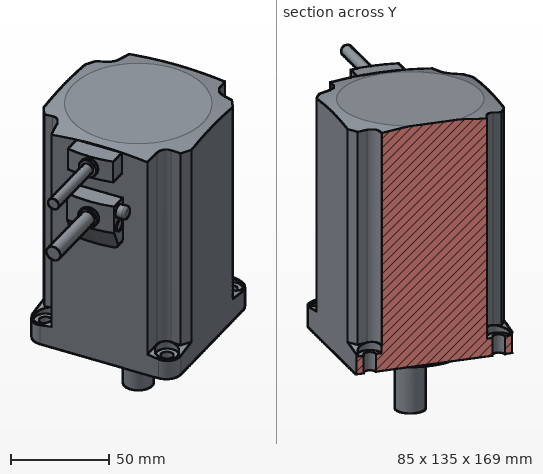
import cadquery as cq
import math

body_width = 85.0
half_width = body_width / 2
body_height = 132.0
flange_corner_radius = 8.5

rear_flat_radius = 37.5
rear_cone_angle = 12.0

hole_offset = 35.0
hole_diameter = 6.6
counterbore_radius = 6.2
counterbore_floor_z = 10.0

groove_radius = 6.3
groove_side_lean = 8.0
groove_shoulder_x = 39.1
groove_mouth_y = 22.7
groove_outer_margin = 10.0

flange_cone_angle = 15.0
flange_height_at_holes = 12.9
hole_circle_radius = hole_offset * math.sqrt(2)

pilot_diameter = 60.0
pilot_height = 3.0
shaft_diameter = 16.0
shaft_length = 37.0

crown_radius = 63.0
outlet_depth = 10.8
cable_reach = 50.0
collar_length = 2.0
mount_overlap = 1.0

upper_width = 26.0
upper_height = 12.5
upper_bottom_z = 118.0
upper_cable_z = upper_bottom_z + upper_height / 2
upper_cable_diameter = 6.2
upper_collar_diameter = 10.0

lower_width = 27.0
lower_top_z = 103.3
lower_bottom_z = 74.8
lower_bend_z = 87.2
lower_bottom_depth = 5.1
lower_corner_radius = 3.5
lower_cable_z = upper_cable_z - 30.0
lower_cable_diameter = 8.0
lower_collar_diameter = 10.8

screw_diameter = 7.3
screw_length = 5.1
screw_edge_radius = 1.6
screw_z = 97.9
plug_diameter = 6.5
plug_height = 0.5
plug_z = 89.2
side_fitting_y = -half_width - 4.2


def cone_solid(angle, radius, height, base_z):
    """Solid about Z from base_z up to a cone that has the given height at the given radius."""
    slope = math.tan(math.radians(angle))
    outer_radius = body_width
    apex_height = height + radius * slope
    outer_height = apex_height - outer_radius * slope
    return (
        cq.Workplane("XZ")
        .moveTo(0, base_z)
        .lineTo(outer_radius, base_z)
        .lineTo(outer_radius, outer_height)
        .lineTo(0, apex_height)
        .close()
        .revolve(360, (0, 0), (0, 1))
    )


def groove_prism():
    """Full-height prism of the groove in the +X +Y corner."""
    lean = math.radians(groove_side_lean)
    along = groove_radius * math.cos(lean)
    across = groove_radius * math.sin(lean)
    diagonal = groove_radius / math.sqrt(2)
    side_start_x = hole_offset - along
    side_start_y = hole_offset - across
    mouth_x = side_start_x - (half_width - side_start_y) * math.tan(lean)
    floor_start_x = hole_offset - across
    floor_start_y = hole_offset - along
    shoulder_y = floor_start_y - (groove_shoulder_x - floor_start_x) * math.tan(lean)
    outside = half_width + groove_outer_margin
    return (
        cq.Workplane("XY")
        .moveTo(mouth_x, outside)
        .lineTo(mouth_x, half_width)
        .lineTo(side_start_x, side_start_y)
        .threePointArc((hole_offset - diagonal, hole_offset - diagonal), (floor_start_x, floor_start_y))
        .lineTo(groove_shoulder_x, shoulder_y)
        .lineTo(half_width, groove_mouth_y)
        .lineTo(outside, groove_mouth_y)
        .lineTo(outside, outside)
        .close()
        .extrude(body_height)
    )


def make_housing():
    housing = (
        cq.Workplane("XY")
        .rect(body_width, body_width)
        .extrude(body_height)
        .edges("|Z")
        .fillet(flange_corner_radius)
        .intersect(cone_solid(rear_cone_angle, rear_flat_radius, body_height, 0))
    )
    groove = groove_prism().cut(
        cone_solid(flange_cone_angle, hole_circle_radius, flange_height_at_holes, -body_height)
    )
    across_x = groove.mirror("YZ")
    for corner in (groove, across_x, groove.mirror("XZ"), across_x.mirror("XZ")):
        housing = housing.cut(corner)
    return housing


def drill_mounting_holes(housing):
    centres = [(x, y) for x in (-hole_offset, hole_offset) for y in (-hole_offset, hole_offset)]
    holes = cq.Workplane("XY").pushPoints(centres).circle(hole_diameter / 2).extrude(body_height / 2)
    counterbores = (
        cq.Workplane("XY")
        .workplane(offset=counterbore_floor_z)
        .pushPoints(centres)
        .circle(counterbore_radius)
        .extrude(flange_height_at_holes)
    )
    return housing.cut(holes).cut(counterbores)


def make_shaft():
    pilot = cq.Workplane("XY").circle(pilot_diameter / 2).extrude(-pilot_height)
    shaft = cq.Workplane("XY").circle(shaft_diameter / 2).extrude(-shaft_length)
    return pilot.union(shaft)


def crowned_block(width, depth, bottom_z, top_z, radius=crown_radius):
    """Upright block on the -Y face whose outer face bulges outward as an arc."""
    crown_y = -half_width - outlet_depth
    sagitta = radius - math.sqrt(radius**2 - (width / 2) ** 2)
    return (
        cq.Workplane("XY")
        .workplane(offset=bottom_z)
        .moveTo(-width / 2, crown_y + depth)
        .lineTo(-width / 2, crown_y + sagitta)
        .threePointArc((0, crown_y), (width / 2, crown_y + sagitta))
        .lineTo(width / 2, crown_y + depth)
        .close()
        .extrude(top_z - bottom_z)
    )


def cylinder_outward(diameter, z, length):
    """Cylinder along -Y, from just inside the housing to a distance off the -Y face."""
    return (
        cq.Workplane("XZ", origin=(0, -half_width + mount_overlap, z))
        .circle(diameter / 2)
        .extrude(length + mount_overlap)
    )


def make_cable(cable_diameter, collar_diameter, z):
    collar = cylinder_outward(collar_diameter, z, outlet_depth + collar_length)
    return collar.union(cylinder_outward(cable_diameter, z, cable_reach))


def make_upper_outlet():
    block = crowned_block(
        upper_width, outlet_depth + mount_overlap, upper_bottom_z, upper_bottom_z + upper_height
    )
    return block.union(make_cable(upper_cable_diameter, upper_collar_diameter, upper_cable_z))


def side_cylinder(diameter, z, height):
    """Cylinder along +X standing on the side of the lower outlet."""
    return (
        cq.Workplane("YZ", origin=(lower_width / 2 - mount_overlap, side_fitting_y, z))
        .circle(diameter / 2)
        .extrude(height + mount_overlap)
    )


def make_lower_outlet():
    block = (
        crowned_block(lower_width, outlet_depth + mount_overlap, lower_bottom_z, lower_top_z)
        .edges("|Y and <Z")
        .fillet(lower_corner_radius)
    )
    bevel_angle = math.atan2(outlet_depth - lower_bottom_depth, lower_bend_z - lower_bottom_z)
    bevel_crown_radius = crown_radius / math.cos(bevel_angle)
    crown_y = -half_width - outlet_depth
    bevel = crowned_block(
        lower_width, body_width, lower_bend_z - body_width, lower_bend_z + body_width, bevel_crown_radius
    )
    bevel = bevel.rotate((0, crown_y, lower_bend_z), (1, crown_y, lower_bend_z), math.degrees(bevel_angle))
    block = block.intersect(bevel)
    screw = side_cylinder(screw_diameter, screw_z, screw_length)
    screw = screw.faces(">X").edges().fillet(screw_edge_radius)
    plug = side_cylinder(plug_diameter, plug_z, plug_height)
    cable = make_cable(lower_cable_diameter, lower_collar_diameter, lower_cable_z)
    return block.union(cable).union(screw).union(plug)


motor = drill_mounting_holes(make_housing())
motor = motor.union(make_shaft())
motor = motor.union(make_upper_outlet())
result = motor.union(make_lower_outlet())